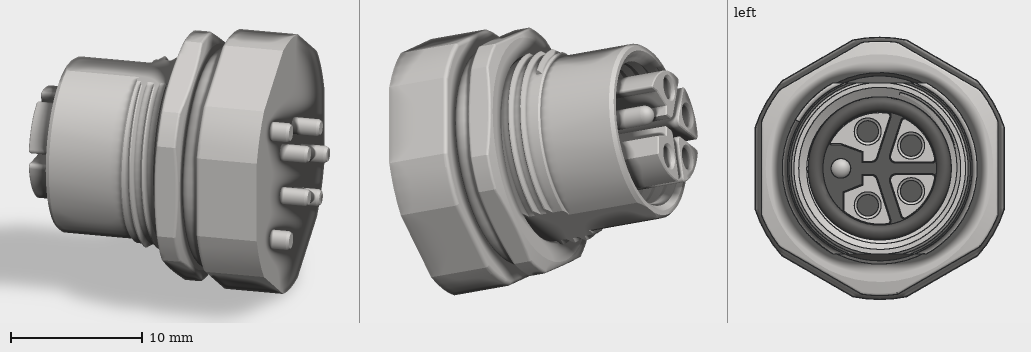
import cadquery as cq
import math


margin = 1.0

shell_front = 2.0
thread_front = 8.03
flange_front = 14.7
flange_length = 4.84
seal_section = 1.5
nut_length = 2.0
nut_back = flange_front - seal_section
nut_front = nut_back - nut_length
flange_back = flange_front + flange_length
total_length = 21.7

shell_radius = 6.75
shell_chamfer_length = 0.3
shell_chamfer_depth = 0.2
shank_radius = 7.05
shank_chamfer = 0.12
flat_height = 6.52
flat_runout = shank_radius - flat_height

bore_radius = 5.46
mouth_radius = 6.18
mouth_depth = 0.72
bore_floor = 9.5

thread_pitch = 1.0
outer_crest_radius = 7.43
inner_groove_radius = 6.0
crest_width = 0.1
flank_angle = 30
flank_slope = math.tan(math.radians(flank_angle))
thread_overlap = 0.05
outer_thread_start = 8.5
outer_thread_start_angle = 30
inner_thread_start = shell_front + 0.2
inner_thread_start_angle = 105
inner_thread_turns = 7

flange_across_flats = 19.0
flange_corner_radius = 10.0
flange_fillet = 0.3

nut_across_flats = 18.0
nut_corner_radius = 9.7
nut_face_radius = 8.68
nut_cone_angle = 15
nut_cone_length = (nut_corner_radius - nut_face_radius) * math.tan(math.radians(nut_cone_angle))
nut_edge_fillet = 0.2
rim_setback = 0.05
nut_mouth_radius = 7.3

insert_radius = 4.33
contact_circle = 2.96
contact_step = 72
contact_angles = [contact_step * i for i in range(1, 5)]
earth_angle = 0
channel_angles = [108, 180, 252]
channel_half_width = 0.4
core_half_width = 0.46
pocket_inner_y = 1.34
pocket_inner_z = 1.21
pocket_outer_y = 2.95
pocket_outer_z = 1.8
key_y = 2.82
socket_mouth_radius = 1.03
socket_radius = 0.82
socket_chamfer = 0.2
socket_depth = 6.0
lobe_edge_fillet = 0.3
core_edge_fillet = 0.5
key_tip_fillet = 0.15
core_reach = 1.2
lobe_face_chamfer = 0.08
earth_pin_radius = 0.75
earth_pin_front = 0.36

pin_radius = 0.65
pin_chamfer_length = 0.22
pin_chamfer_depth = 0.13
peg_radius = 0.73
peg_end = 21.05
peg_y = -5.2
peg_z = 4.34


def cylinder(x_start, x_end, radius, y=0, z=0):
    """Cylinder parallel to X."""
    return cq.Workplane("YZ", origin=(x_start, y, z)).circle(radius).extrude(x_end - x_start)


def turned(points):
    """Solid of revolution about X from (x, radius) points."""
    return cq.Workplane("XY").polyline(points).close().revolve(360, (0, 0, 0), (1, 0, 0))


def hexagon(x_start, length, across_flats):
    """Hexagonal prism with two of its flats facing +Y and -Y."""
    corner_diameter = across_flats / math.cos(math.radians(30))
    return (
        cq.Workplane("YZ", origin=(x_start, 0, 0))
        .transformed(rotate=(0, 0, 30))
        .polygon(6, corner_diameter)
        .extrude(length)
    )


def helical_ridge(start, start_angle, turns, root_radius, crest_radius):
    """Right-handed thread profile swept about X; the angle turns its start from +Y towards +Z."""
    crest_half = crest_width / 2
    root_half = crest_half + abs(crest_radius - root_radius) * flank_slope
    path = cq.Wire.makeHelix(thread_pitch, thread_pitch * turns, root_radius)
    ridge = (
        cq.Workplane("XZ")
        .polyline([
            (root_radius, -root_half),
            (crest_radius, -crest_half),
            (crest_radius, crest_half),
            (root_radius, root_half),
        ])
        .close()
        .sweep(cq.Workplane(path), isFrenet=True)
    )
    ridge = ridge.rotate((0, 0, 0), (1, 1, 1), 120)
    return ridge.rotate((0, 0, 0), (1, 0, 0), start_angle).translate((start, 0, 0))


def polar(radius, angle):
    """(y, z) of a point at an angle turned from +Y towards +Z."""
    return radius * math.cos(math.radians(angle)), radius * math.sin(math.radians(angle))


def make_flange():
    """Hexagonal flange with round corners and a rounded front rim."""
    flange = hexagon(flange_front, flange_length, flange_across_flats)
    flange = flange.intersect(cylinder(flange_front, flange_back, flange_corner_radius))
    return flange.faces("<X").edges().fillet(flange_fillet)


def make_shell():
    """Shell, shank, outer thread and the two flats across them."""
    shell = turned([
        (shell_front, 0),
        (shell_front, shell_radius - shell_chamfer_depth),
        (shell_front + shell_chamfer_length, shell_radius),
        (thread_front, shell_radius),
        (thread_front, shank_radius - shank_chamfer),
        (thread_front + shank_chamfer, shank_radius),
        (flange_front, shank_radius),
        (flange_front, 0),
    ])
    turns = (nut_front - outer_thread_start) / thread_pitch + 1
    ridge = helical_ridge(
        outer_thread_start, outer_thread_start_angle, turns,
        shank_radius - thread_overlap, outer_crest_radius,
    )
    sleeve = cylinder(thread_front + shank_chamfer, nut_front, outer_crest_radius + margin)
    shell = shell.union(ridge.intersect(sleeve))
    for side in (1, -1):
        flat = (
            cq.Workplane("XZ")
            .polyline([
                (shell_front, side * flat_height),
                (nut_back - flat_runout, side * flat_height),
                (nut_back, side * shank_radius),
                (nut_back, side * (shank_radius + margin)),
                (shell_front, side * (shank_radius + margin)),
            ])
            .close()
            .extrude(shank_radius, both=True)
        )
        shell = shell.cut(flat)
    return shell


def make_bore():
    """Socket space in the shell, with a conical mouth and a thread groove."""
    bore = turned([
        (shell_front, 0),
        (shell_front, mouth_radius),
        (shell_front + mouth_depth, bore_radius),
        (bore_floor, bore_radius),
        (bore_floor, 0),
    ])
    groove = helical_ridge(
        inner_thread_start, inner_thread_start_angle, inner_thread_turns,
        bore_radius - thread_overlap, inner_groove_radius,
    )
    return bore.union(groove)


def make_face_seal():
    """Half-round ring that fills the floor of the bore around the insert."""
    section_radius = (bore_radius - insert_radius) / 2
    crest = (bore_floor - section_radius, insert_radius + section_radius)
    return (
        cq.Workplane("XY")
        .moveTo(bore_floor, insert_radius)
        .threePointArc(crest, (bore_floor, bore_radius))
        .close()
        .revolve(360, (0, 0, 0), (1, 0, 0))
    )


def make_channel(angle):
    """Straight gap from the axis outwards between two lobes."""
    return (
        cq.Workplane("XY")
        .box(bore_floor, insert_radius + margin, 2 * channel_half_width, centered=(False, False, True))
        .rotate((0, 0, 0), (1, 0, 0), angle)
    )


def make_lobes():
    """Four lobes of the insert, parted by the channels and the earth pocket."""
    lobes = cylinder(0, bore_floor, insert_radius)
    for angle in channel_angles:
        lobes = lobes.cut(make_channel(angle))
    reach = insert_radius + margin
    pocket = (
        cq.Workplane("YZ")
        .polyline([
            (-core_half_width, core_half_width),
            (pocket_inner_y, core_half_width),
            (pocket_inner_y, pocket_inner_z),
            (pocket_outer_y, pocket_outer_z),
            (reach, pocket_outer_z),
            (reach, -reach),
            (key_y, -reach),
            (key_y, -pocket_outer_z),
            (pocket_inner_y, -pocket_inner_z),
            (pocket_inner_y, -core_half_width),
            (-core_half_width, -core_half_width),
        ])
        .close()
        .extrude(bore_floor)
    )
    lobes = lobes.cut(pocket)
    rim = lobes.faces("%CYLINDER").edges("|X")
    core = cq.selectors.BoxSelector(
        (0, -core_reach, -core_reach), (bore_floor, core_reach, core_reach)
    )
    lobes = rim.newObject([e for e in rim.vals() if e.Center().y < 0]).fillet(lobe_edge_fillet)
    lobes = lobes.edges("|X").edges(core).fillet(core_edge_fillet)
    tip = cq.selectors.NearestToPointSelector((bore_floor / 2, reach, pocket_outer_z))
    lobes = lobes.edges("|X").edges(tip).fillet(key_tip_fillet)
    return lobes.faces("<X").chamfer(lobe_face_chamfer)


def make_socket(angle):
    """Contact hole with a countersunk mouth."""
    y, z = polar(contact_circle, angle)
    return turned([
        (0, 0),
        (0, socket_mouth_radius),
        (socket_chamfer, socket_radius),
        (socket_depth, socket_radius),
        (socket_depth, 0),
    ]).translate((0, y, z))


def make_earth_pin():
    """Earth contact with a ball-shaped tip."""
    y, z = polar(contact_circle, earth_angle)
    ball_center = earth_pin_front + earth_pin_radius
    pin = cylinder(ball_center, bore_floor, earth_pin_radius, y, z)
    ball = cq.Workplane("XY").sphere(earth_pin_radius).translate((ball_center, y, z))
    return pin.union(ball)


def make_tail(end, radius, y, z):
    """Round pin with a tapered end standing on the back of the flange."""
    return turned([
        (flange_back, 0),
        (flange_back, radius),
        (end - pin_chamfer_length, radius),
        (end, radius - pin_chamfer_depth),
        (end, 0),
    ]).translate((0, y, z))


def make_connector():
    """Housing, contact insert, pins and pegs as one body."""
    connector = make_shell().union(make_flange())
    connector = connector.cut(make_bore())
    connector = connector.union(make_face_seal())
    lobes = make_lobes()
    for angle in contact_angles:
        lobes = lobes.cut(make_socket(angle))
    connector = connector.union(lobes)
    connector = connector.union(make_earth_pin())
    for angle in [earth_angle] + contact_angles:
        y, z = polar(contact_circle, angle)
        connector = connector.union(make_tail(total_length, pin_radius, y, z))
    for side in (1, -1):
        connector = connector.union(make_tail(peg_end, peg_radius, peg_y, side * peg_z))
    return connector


def make_nut():
    """Hexagonal nut with conical faces, rounded rims and a countersunk hole."""
    blank = turned([
        (nut_front, 0),
        (nut_front, nut_face_radius),
        (nut_front + nut_cone_length, nut_corner_radius),
        (nut_back - nut_cone_length, nut_corner_radius),
        (nut_back, nut_face_radius),
        (nut_back, 0),
    ])
    nut = hexagon(nut_front, nut_length, nut_across_flats).intersect(blank)
    hole = turned([
        (nut_front, 0),
        (nut_front, nut_mouth_radius),
        (nut_front + nut_mouth_radius - shank_radius, shank_radius),
        (nut_back, shank_radius),
        (nut_back, 0),
    ])
    rims = cq.selectors.BoxSelector(
        (nut_front + rim_setback, -nut_corner_radius, -nut_corner_radius),
        (nut_back - rim_setback, nut_corner_radius, nut_corner_radius),
    )
    nut = nut.faces("%CONE").edges(rims).fillet(nut_edge_fillet)
    return nut.cut(hole)


def make_seal():
    """O-ring around the shank, between the nut and the flange."""
    section_radius = seal_section / 2
    ring_radius = shank_radius + section_radius
    ring = cq.Solid.makeTorus(
        ring_radius, section_radius, cq.Vector(nut_back + section_radius, 0, 0), cq.Vector(1, 0, 0)
    )
    return cq.Workplane(ring)


connector = make_connector()
nut = make_nut()
seal = make_seal()
result = cq.Compound.makeCompound([connector.val(), nut.val(), seal.val()])